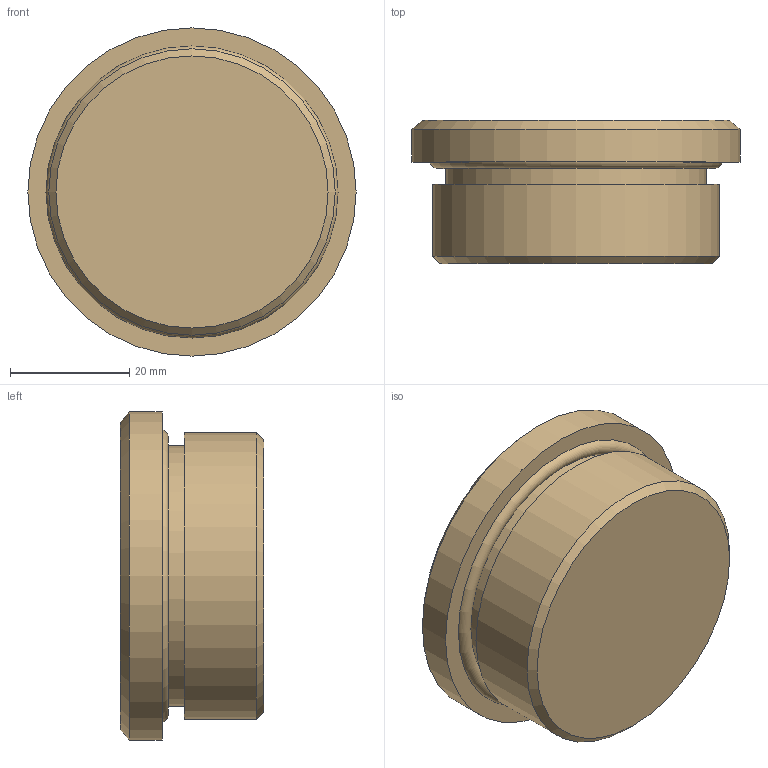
import cadquery as cq

total_length = 24.0

flange_diameter = 55.0
flange_length = 7.0
flange_chamfer_length = 1.5
flange_chamfer_depth = 1.8

bead_diameter = 48.94
bead_height = 1.05

neck_diameter = 43.7
neck_length = 3.7

body_diameter = 48.0
body_chamfer = 1.2

flange_radius = flange_diameter / 2
bead_radius = bead_diameter / 2
neck_radius = neck_diameter / 2
body_radius = body_diameter / 2

flange_front = total_length - flange_length
body_shoulder = flange_front - neck_length

bead_crest = ((neck_radius + bead_radius) / 2, flange_front - bead_height)


def half_profile():
    """Half section in the XY plane: X is the radius, Y runs along the axis."""
    return (
        cq.Workplane("XY")
        .moveTo(0, 0)
        .lineTo(body_radius - body_chamfer, 0)
        .lineTo(body_radius, body_chamfer)
        .lineTo(body_radius, body_shoulder)
        .lineTo(neck_radius, body_shoulder)
        .lineTo(neck_radius, flange_front)
        .threePointArc(bead_crest, (bead_radius, flange_front))
        .lineTo(flange_radius, flange_front)
        .lineTo(flange_radius, total_length - flange_chamfer_length)
        .lineTo(flange_radius - flange_chamfer_depth, total_length)
        .lineTo(0, total_length)
        .close()
    )


result = half_profile().revolve(360, (0, 0, 0), (0, 1, 0))